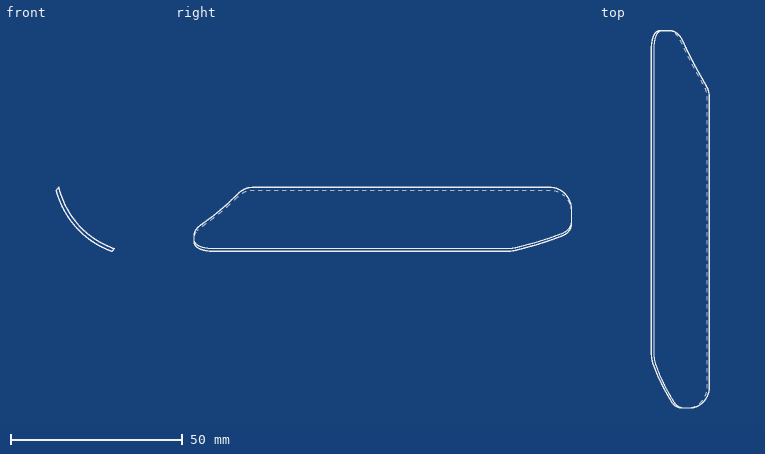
import cadquery as cq
import math

length = 110.0
thickness = 1.0
outer_radius = 26.0

chord_x = 16.3
chord_z = 17.8

cut_angle = 48.0

front_bevel_width = 13.4
front_bevel_length = 14.6
back_bevel_width = 10.5
back_bevel_length = 17.6
corner_radius = 6.0

cut_x = math.cos(math.radians(cut_angle))
cut_z = math.sin(math.radians(cut_angle))
chord = math.hypot(chord_x, chord_z)
width = chord_x * cut_z + chord_z * cut_x

axis_distance = math.sqrt(outer_radius**2 - (chord / 2) ** 2)
axis_x = axis_distance * chord_z / chord
axis_z = axis_distance * chord_x / chord


def make_tube():
    """Full tube that the plate is a part of."""
    return (
        cq.Workplane("XZ", origin=(axis_x, 0, axis_z))
        .circle(outer_radius)
        .circle(outer_radius - thickness)
        .extrude(length / 2, both=True)
    )


def make_trim():
    """Rounded six-sided prism that cuts through the near wall of the tube only."""
    plane = cq.Plane(origin=(0, 0, 0), xDir=(cut_z, 0, -cut_x), normal=(cut_x, 0, cut_z))
    side = width / 2
    end = length / 2
    outline = [
        (-side, end),
        (side - back_bevel_width, end),
        (side, end - back_bevel_length),
        (side, -end),
        (-side + front_bevel_width, -end),
        (-side, -end + front_bevel_length),
    ]
    return (
        cq.Workplane(plane)
        .polyline(outline)
        .close()
        .extrude(axis_distance / 2, both=True)
        .edges(cq.selectors.ParallelDirSelector(plane.zDir))
        .fillet(corner_radius)
    )


result = make_tube().intersect(make_trim())